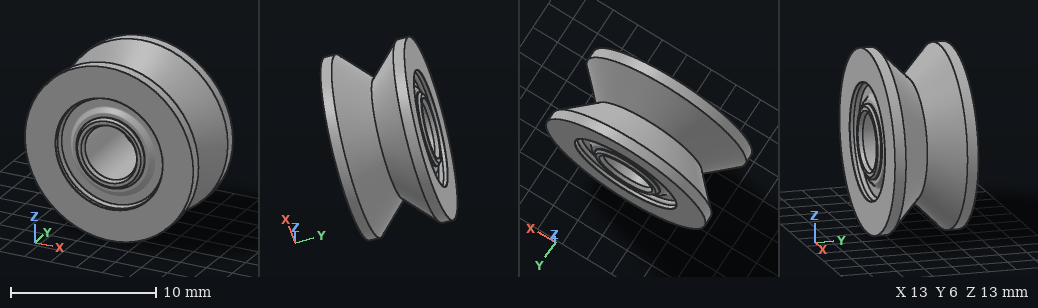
import cadquery as cq
import math


WHEEL_RADIUS = 6.5
WHEEL_WIDTH = 6.0
RIM_WIDTH = 0.79
GROOVE_DEPTH = WHEEL_WIDTH / 2 - RIM_WIDTH
SEAT_RADIUS = 4.12
SEAT_CHAMFER = 0.03

RACE_HALF_WIDTH = 2.7
RACE_BORE_RADIUS = 3.96
RACE_FILLET = 0.14
SHIELD_HALF_WIDTH = 2.4
SHIELD_STEP_RADIUS = 3.26
SHIELD_STEP_HEIGHT = 0.32
SHIELD_BASE_FILLET = 0.15
SHIELD_TOP_FILLET = 0.1

RING_RADIUS = 2.63
RING_HALF_WIDTH = 3.0
RING_CHAMFER = 0.18
BORE_RADIUS = 2.0
BORE_CHAMFER_DEPTH = 0.15
BORE_CHAMFER_LENGTH = 0.3

EDGE_TOLERANCE = 0.001


def revolve_symmetric(half_profile):
    """Mirror a chain of (radius, y) points about Y = 0 and revolve it about the Y axis."""
    mirrored = [(radius, -y) for radius, y in reversed(half_profile) if y > 0]
    outline = cq.Workplane("XY").polyline(half_profile + mirrored).close()
    return outline.revolve(360, (0, 0, 0), (0, 1, 0))


def make_wheel():
    half_width = WHEEL_WIDTH / 2
    return revolve_symmetric([
        (WHEEL_RADIUS - GROOVE_DEPTH, 0),
        (WHEEL_RADIUS, GROOVE_DEPTH),
        (WHEEL_RADIUS, half_width),
        (SEAT_RADIUS + SEAT_CHAMFER, half_width),
        (SEAT_RADIUS, half_width - SEAT_CHAMFER),
    ])


def fillet_circles(body, circle_radius, y, fillet_radius):
    """Fillet the pair of circular edges of the given radius at +y and -y."""
    edges = [
        edge
        for edge in body.edges("%CIRCLE").vals()
        if math.isclose(edge.radius(), circle_radius, abs_tol=EDGE_TOLERANCE)
        and math.isclose(abs(edge.Center().y), y, abs_tol=EDGE_TOLERANCE)
    ]
    return body.newObject(edges).fillet(fillet_radius)


def make_outer_race():
    step_top_radius = SHIELD_STEP_RADIUS - SHIELD_STEP_HEIGHT
    step_top = SHIELD_HALF_WIDTH + SHIELD_STEP_HEIGHT
    body = revolve_symmetric([
        (SEAT_RADIUS, RACE_HALF_WIDTH),
        (RACE_BORE_RADIUS, RACE_HALF_WIDTH),
        (RACE_BORE_RADIUS, SHIELD_HALF_WIDTH),
        (SHIELD_STEP_RADIUS, SHIELD_HALF_WIDTH),
        (step_top_radius, step_top),
        (RING_RADIUS, step_top),
    ])
    body = fillet_circles(body, RACE_BORE_RADIUS, RACE_HALF_WIDTH, RACE_FILLET)
    body = fillet_circles(body, SHIELD_STEP_RADIUS, SHIELD_HALF_WIDTH, SHIELD_BASE_FILLET)
    return fillet_circles(body, step_top_radius, step_top, SHIELD_TOP_FILLET)


def make_inner_ring():
    return revolve_symmetric([
        (RING_RADIUS, RING_HALF_WIDTH - RING_CHAMFER),
        (RING_RADIUS - RING_CHAMFER, RING_HALF_WIDTH),
        (BORE_RADIUS + BORE_CHAMFER_DEPTH, RING_HALF_WIDTH),
        (BORE_RADIUS, RING_HALF_WIDTH - BORE_CHAMFER_LENGTH),
    ])


wheel = make_wheel()
outer_race = make_outer_race()
inner_ring = make_inner_ring()

result = cq.Compound.makeCompound([wheel.val(), outer_race.val(), inner_ring.val()])